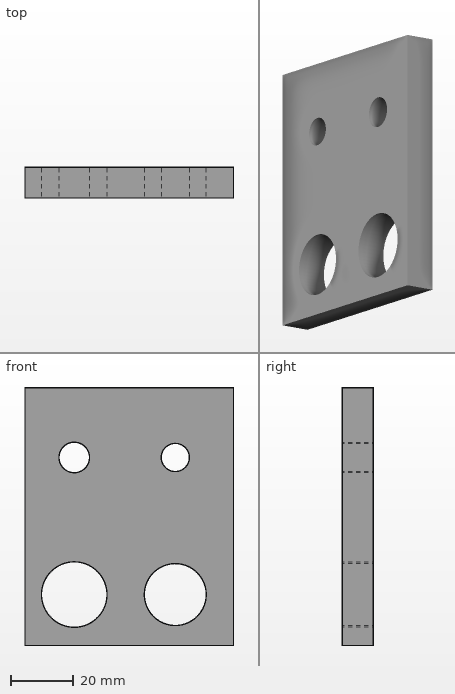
import cadquery as cq

plate_width = 67.1
plate_thickness = 10.0
plate_height = 82.95

left_column = 15.86
column_spacing = 32.5
lower_row = 16.4
row_spacing = 44.1
right_column = left_column + column_spacing
upper_row = lower_row + row_spacing

holes = [
    (left_column, lower_row, 21.0),
    (right_column, lower_row, 19.85),
    (left_column, upper_row, 9.75),
    (right_column, upper_row, 9.0),
]


def make_plate():
    """Upright plate centred on the origin, with its large faces normal to Y."""
    return cq.Workplane("XY").box(plate_width, plate_thickness, plate_height)


def make_hole_cutter(from_left, from_bottom, diameter):
    """Cylinder along Y that passes right through the plate thickness."""
    x = from_left - plate_width / 2
    z = from_bottom - plate_height / 2
    return (
        cq.Workplane("XZ", origin=(0, plate_thickness / 2, 0))
        .center(x, z)
        .circle(diameter / 2)
        .extrude(plate_thickness)
    )


result = make_plate()
for from_left, from_bottom, diameter in holes:
    result = result.cut(make_hole_cutter(from_left, from_bottom, diameter))